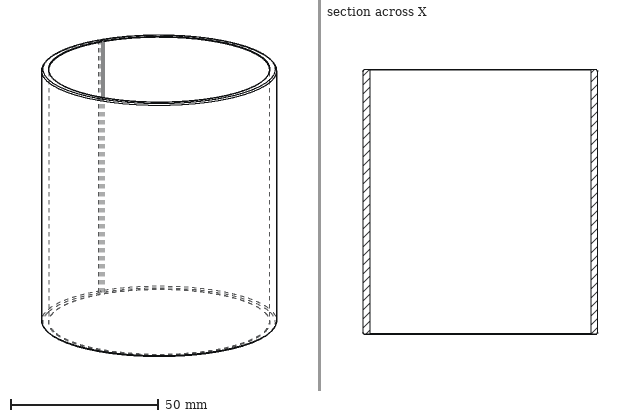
import cadquery as cq

outer_diameter = 80.0
wall_thickness = 2.5
length = 90.0
outer_chamfer = 0.5
inner_chamfer = 0.2
joint_angle = 1.0

outer_radius = outer_diameter / 2
inner_radius = outer_radius - wall_thickness


def sleeve():
    """Tube with chamfered rims, revolved about Z and resting on Z = 0."""
    wall_section = [
        (inner_radius + inner_chamfer, 0),
        (outer_radius - outer_chamfer, 0),
        (outer_radius, outer_chamfer),
        (outer_radius, length - outer_chamfer),
        (outer_radius - outer_chamfer, length),
        (inner_radius + inner_chamfer, length),
        (inner_radius, length - inner_chamfer),
        (inner_radius, inner_chamfer),
    ]
    return cq.Workplane("XZ").polyline(wall_section).close().revolve(360, (0, 0), (0, 1))


def joint_wedge():
    """Thin full-length wedge with radial sides; one side lies on Y = 0, the other towards +Y."""
    start_angle = 180 - joint_angle
    wedge = (
        cq.Workplane("XZ")
        .rect(outer_diameter, length, centered=False)
        .revolve(joint_angle, (0, 0), (0, 1))
    )
    return wedge.rotate((0, 0, 0), (0, 0, 1), start_angle)


result = sleeve().cut(joint_wedge())